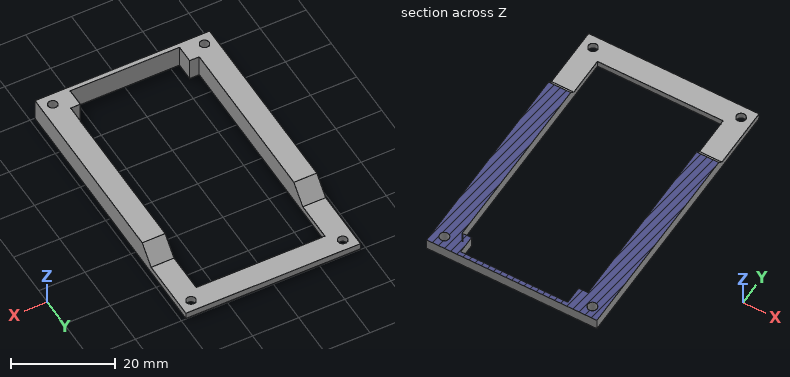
import cadquery as cq

width = 37.95
length = 59.8
height = 5.0

border = 5.0
thin_height = 1.5
ramp_start = 13.75
ramp_run = height - thin_height

front_lip = 1.0
shoulder = 2.1

hole_diameter = 2.0
hole_inset = border / 2

opening_width = width - 2 * border
opening_length = length - 2 * border
notch_width = opening_width - 2 * shoulder
front_y = -length / 2
back_y = length / 2


def frame_body():
    """Side profile with a lowered back section, extruded across the width."""
    ramp_foot_y = back_y - ramp_start
    return (
        cq.Workplane("YZ")
        .moveTo(front_y, 0)
        .lineTo(back_y, 0)
        .lineTo(back_y, thin_height)
        .lineTo(ramp_foot_y, thin_height)
        .lineTo(ramp_foot_y - ramp_run, height)
        .lineTo(front_y, height)
        .close()
        .extrude(width / 2, both=True)
    )


def opening():
    """Central window together with the narrower notch in the front border."""
    window = cq.Workplane("XY").rect(opening_width, opening_length).extrude(height)
    notch = (
        cq.Workplane("XY")
        .center(0, (front_y + front_lip) / 2)
        .rect(notch_width, length / 2 - front_lip)
        .extrude(height)
    )
    return window.union(notch)


def corner_holes():
    """Four through holes, one in each corner."""
    return (
        cq.Workplane("XY")
        .rect(width - 2 * hole_inset, length - 2 * hole_inset, forConstruction=True)
        .vertices()
        .circle(hole_diameter / 2)
        .extrude(height)
    )


result = frame_body().cut(opening()).cut(corner_holes())